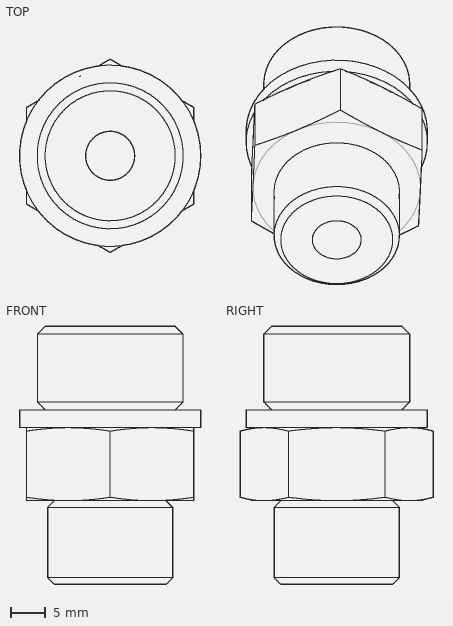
import cadquery as cq
import math

total_height = 37.0
stud_height = 12.0
flange_height = 2.55
hex_height = total_height - 2 * stud_height - flange_height

upper_diameter = 20.95
lower_diameter = 18.0
flange_diameter = 26.0
bore_diameter = 7.0
hex_across_flats = 24.0
hex_across_corners = hex_across_flats / math.cos(math.radians(30))

upper_chamfer = 1.15
lower_chamfer = 0.95
hex_face_diameter = hex_across_flats
hex_chamfer_angle = 15.0

hex_bottom = stud_height
flange_bottom = hex_bottom + hex_height
flange_top = flange_bottom + flange_height


def cylinder(diameter, height, bottom):
    """Cylinder on the Z axis standing at the given height."""
    return cq.Workplane("XY").workplane(offset=bottom).circle(diameter / 2).extrude(height)


def stud(diameter, chamfer, bottom):
    """Stud with both end edges chamfered."""
    return cylinder(diameter, stud_height, bottom).edges().chamfer(chamfer)


def hexagon():
    """Hexagon with corners on Y, its corners turned down by a cone at both ends."""
    prism = (
        cq.Workplane("XY")
        .workplane(offset=hex_bottom)
        .transformed(rotate=(0, 0, 90))
        .polygon(6, hex_across_corners)
        .extrude(hex_height)
    )
    face_radius = hex_face_diameter / 2
    corner_radius = hex_across_corners / 2
    corner_drop = (corner_radius - face_radius) * math.tan(math.radians(hex_chamfer_angle))
    turned_blank = (
        cq.Workplane("XZ")
        .moveTo(0, hex_bottom)
        .lineTo(face_radius, hex_bottom)
        .lineTo(corner_radius, hex_bottom + corner_drop)
        .lineTo(corner_radius, flange_bottom - corner_drop)
        .lineTo(face_radius, flange_bottom)
        .lineTo(0, flange_bottom)
        .close()
        .revolve(360, (0, 0, 0), (0, 1, 0))
    )
    return prism.intersect(turned_blank)


lower_stud = stud(lower_diameter, lower_chamfer, 0)
flange = cylinder(flange_diameter, flange_height, flange_bottom)
upper_stud = stud(upper_diameter, upper_chamfer, flange_top)
bore = cylinder(bore_diameter, total_height, 0)

result = lower_stud.union(hexagon()).union(flange).union(upper_stud).cut(bore)